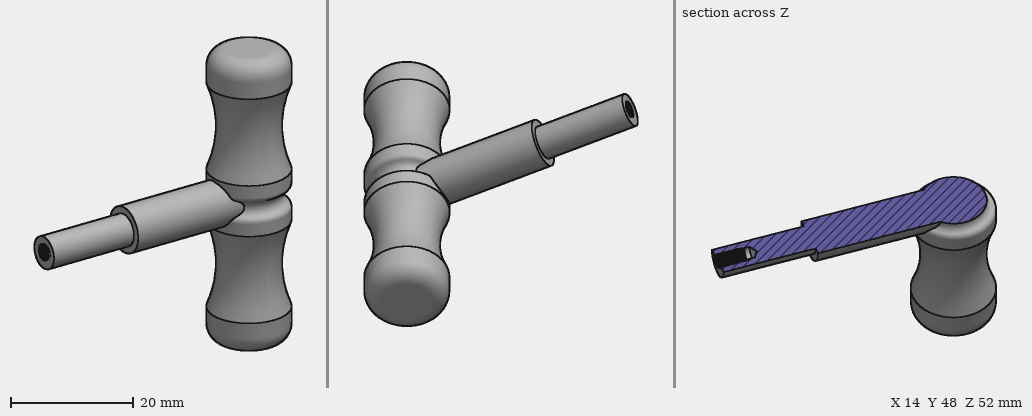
import cadquery as cq
import math

HEIGHT = 52.0
OVERALL_DEPTH = 48.0

GRIP_DIAMETER = 14.0
END_ROUND_RADIUS = 3.0
END_BAND_DEPTH = 6.0
WAIST_DIAMETER = 10.85
INNER_BAND_OFFSET = 4.5
GROOVE_RADIUS = 1.5
GROOVE_EDGE_RADIUS = 1.0

STEM_DIAMETER = 8.0
STEM_END = 25.0
PIN_DIAMETER = 5.6

BORE_DIAMETER = 2.5
BORE_DEPTH = 6.0
DRILL_POINT_ANGLE = 118.0
THREAD_DIAMETER = 3.0
THREAD_PITCH = 0.5
THREAD_LENGTH = 5.0
THREAD_MOUTH_WIDTH = 0.39
THREAD_ROOT_WIDTH = 0.1
THREAD_OVERLAP = 0.05
THREAD_START_ANGLE = 180.0

HALF_HEIGHT = HEIGHT / 2
GRIP_RADIUS = GRIP_DIAMETER / 2
TIP_DISTANCE = OVERALL_DEPTH - GRIP_RADIUS


def make_half_grip():
    """Upper half of the grip, from the bottom of the middle groove to the end face."""
    centre_distance = GROOVE_RADIUS + GROOVE_EDGE_RADIUS
    edge_centre_z = math.sqrt(centre_distance**2 - GROOVE_EDGE_RADIUS**2)
    share = GROOVE_RADIUS / centre_distance
    tangent_point = (GRIP_RADIUS - share * GROOVE_EDGE_RADIUS, share * edge_centre_z)

    waist_end_z = HALF_HEIGHT - END_BAND_DEPTH
    waist_middle_z = (INNER_BAND_OFFSET + waist_end_z) / 2

    profile = (
        cq.Workplane("XZ")
        .lineTo(GRIP_RADIUS - GROOVE_RADIUS, 0)
        .radiusArc(tangent_point, GROOVE_RADIUS)
        .radiusArc((GRIP_RADIUS, edge_centre_z), -GROOVE_EDGE_RADIUS)
        .lineTo(GRIP_RADIUS, INNER_BAND_OFFSET)
        .threePointArc((WAIST_DIAMETER / 2, waist_middle_z), (GRIP_RADIUS, waist_end_z))
        .lineTo(GRIP_RADIUS, HALF_HEIGHT - END_ROUND_RADIUS)
        .radiusArc((GRIP_RADIUS - END_ROUND_RADIUS, HALF_HEIGHT), -END_ROUND_RADIUS)
        .lineTo(0, HALF_HEIGHT)
        .close()
    )
    return profile.revolve(360, (0, 0, 0), (0, 1, 0))


def make_grip():
    upper_half = make_half_grip()
    return upper_half.union(upper_half.mirror("XY"), clean=False)


def make_rod(diameter, length):
    """Round bar from the grip axis along -Y."""
    return cq.Workplane("XZ").circle(diameter / 2).extrude(length)


def make_drilled_bore():
    """Blind bore along +Z from the origin, with a conical drill point."""
    radius = BORE_DIAMETER / 2
    point_depth = radius / math.tan(math.radians(DRILL_POINT_ANGLE / 2))
    profile = (
        cq.Workplane("XZ")
        .lineTo(radius, 0)
        .lineTo(radius, BORE_DEPTH)
        .lineTo(0, BORE_DEPTH + point_depth)
        .close()
    )
    return profile.revolve(360, (0, 0, 0), (0, 1, 0))


def make_thread_groove():
    """Right-hand helical groove along +Z, starting one pitch outside the hole mouth."""
    inner_radius = BORE_DIAMETER / 2 - THREAD_OVERLAP
    helix = cq.Wire.makeHelix(THREAD_PITCH, THREAD_LENGTH + THREAD_PITCH, inner_radius)
    groove = (
        cq.Workplane("XZ")
        .moveTo(inner_radius, -THREAD_MOUTH_WIDTH / 2)
        .lineTo(THREAD_DIAMETER / 2, -THREAD_ROOT_WIDTH / 2)
        .lineTo(THREAD_DIAMETER / 2, THREAD_ROOT_WIDTH / 2)
        .lineTo(inner_radius, THREAD_MOUTH_WIDTH / 2)
        .close()
        .sweep(cq.Workplane(obj=helix), isFrenet=True)
    )
    return groove.translate((0, 0, -THREAD_PITCH)).rotate((0, 0, 0), (0, 0, 1), THREAD_START_ANGLE)


def place_in_tip(tool):
    """Turn a tool from +Z to +Y and move its mouth to the pin tip."""
    return tool.rotate((0, 0, 0), (1, 0, 0), -90).translate((0, -TIP_DISTANCE, 0))


stem = make_rod(STEM_DIAMETER, STEM_END)
pin = make_rod(PIN_DIAMETER, TIP_DISTANCE)

result = (
    make_grip()
    .union(stem, clean=False)
    .union(pin, clean=False)
    .cut(place_in_tip(make_drilled_bore()), clean=False)
    .cut(place_in_tip(make_thread_groove()), clean=False)
)